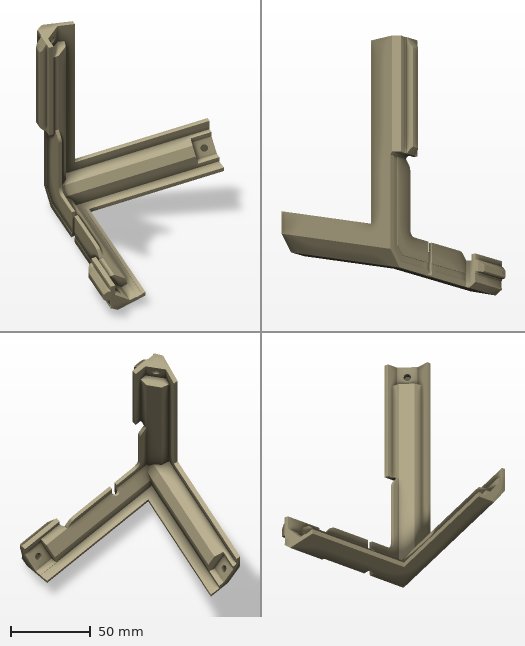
import cadquery as cq
import math


beam_end = 114.56
upright_end = 147.03
rail_height = 4.0
overall_depth = 111.15
arm_end = overall_depth - rail_height
lean = math.tan(math.radians(14.5))
edge_y = 4.87
corner_chamfer = 10.2

wall = 2.95
front_wall = 3.1
front_flange_width = 21.4
front_chamfer = 3.2
leaning_flange_y = 24.0
core_width = 17.3
core_side_y = 8.5
core_top = 8.4
core_back_y = 16.2
pocket_y = 13.3
pocket_width = 13.3
pocket_length = 13.3

arm_width = 24.6
arm_core = 17.6
arm_core_chamfer = 5.05
arm_seat = 5.9
arm_seat_floor = 13.9
arm_pocket_length = 12.1

tip_width = 2.2
channel_depth = 0.4

recess_y = 6.2
recess_bevel = 1.6
beam_recess_end = 85.4
upright_recess_end = 72.6
plate_width = 22.35
plate_bevel = 4.7
plate_radius = 4.5

groove_near = 4.1
groove_far = 8.9
groove_depth = 0.45
upright_groove_inset = 0.4
groove_outer_bend = 7.1
groove_inner_bend = 5.1

hole_diameter = 4.6
hole_depth = 5.0
hole_from_end = 6.8
arm_hole_from_end = 6.1
slot_x = 44.2
slot_width = 4.0
slot_back_y = 9.95
bevel_width = 0.9
bevel_angle = 45.0
top_bevel_depth = 3.6
top_bevel_y = 9.3

rail_near = 9.7
rail_far = 17.5
upright_rail_top_slope = 6.6
upright_rail_near_chamfer = 0.9
upright_rail_far_chamfer = 1.25
beam_rail_straight = 1.75
beam_rail_shelf = 1.1
beam_rail_slope = 2.9
beam_rail_chamfer = 0.6
beam_rail_start_slope = 4.0
beam_rail_end_slope = 2.0

margin = 10.0


def leaning(y):
    """Offset of the left or bottom plane at a given Y."""
    return lean * (y - edge_y)


def prism_x(points, start, end):
    """Prism along X from (y, z) points."""
    return cq.Workplane("YZ", origin=(start, 0, 0)).polyline(points).close().extrude(end - start)


def prism_y(points, start, end):
    """Prism along Y from (x, z) points."""
    return cq.Workplane("XZ", origin=(0, start, 0)).polyline(points).close().extrude(start - end)


def prism_z(points, start, end):
    """Prism along Z from (x, y) points."""
    return cq.Workplane("XY", origin=(0, 0, start)).polyline(points).close().extrude(end - start)


def leaning_prism(points, start, end):
    """Prism along the arm from (u, v) points measured from the leaning corner."""
    offset = leaning(start)
    corners = [cq.Vector(u + offset, start, v + offset) for u, v in points]
    wire = cq.Wire.makePolygon(corners, close=True)
    length = end - start
    path = cq.Vector(lean * length, length, lean * length)
    return cq.Workplane(obj=cq.Solid.extrudeLinear(wire, [], path))


def swap(points):
    """Section with its two coordinates exchanged."""
    return [(b, a) for a, b in points]


core_back_width = core_top + leaning(core_back_y)
core_ledge_y = core_back_y + lean * (core_top - wall)


def flange_section():
    """V section as (y, w) points, w across the bar, with the sloping end pocket floor."""
    return [
        (front_wall, front_flange_width),
        (0, front_flange_width),
        (0, front_chamfer),
        (edge_y, 0),
        (leaning_flange_y, leaning(leaning_flange_y)),
        (leaning_flange_y, leaning(leaning_flange_y) + wall),
        (pocket_y, leaning(pocket_y) + wall),
        (front_wall, pocket_width),
    ]


def core_section():
    """Core between the two flanges, its ledge square to the leaning flange."""
    return [
        (front_wall, core_width),
        (front_wall, front_chamfer),
        (edge_y, 0),
        (core_ledge_y, leaning(core_ledge_y)),
        (core_ledge_y, leaning(core_ledge_y) + wall),
        (core_back_y, core_back_width),
        (core_side_y, core_width),
    ]


def channel_section():
    """Channel along the beam, straddling the flange's inside face."""
    tip_y = leaning_flange_y - tip_width
    return [
        (core_ledge_y, leaning(core_ledge_y) + wall - channel_depth),
        (tip_y, leaning(tip_y) + wall - channel_depth),
        (tip_y, leaning(tip_y) + wall + channel_depth),
        (core_ledge_y, leaning(core_ledge_y) + wall + channel_depth),
    ]


def arm_channel_section():
    """Channel along the arm, in (u, v) from the leaning corner."""
    tip_u = arm_width - tip_width
    return [
        (arm_core, wall - channel_depth),
        (tip_u, wall - channel_depth),
        (tip_u, wall + channel_depth),
        (arm_core, wall + channel_depth),
    ]


def make_flanges():
    """Thin V sections of the three bars with the channels inside the bottom flanges."""
    beam = prism_x(flange_section(), -margin, beam_end)
    upright = prism_z(swap(flange_section()), -margin, upright_end)
    flanges = beam.union(upright).union(make_arm_flanges())
    flanges = flanges.cut(prism_x(channel_section(), arm_core, beam_end))
    return flanges.cut(leaning_prism(arm_channel_section(), core_back_y, arm_end))


def make_arm_flanges():
    """V section of the arm with the seats beside its end pocket."""
    return leaning_prism([
        (wall, arm_width),
        (0, arm_width),
        (0, 0),
        (arm_width, 0),
        (arm_width, wall),
        (arm_core, wall),
        (arm_core, arm_seat),
        (arm_seat_floor, arm_seat),
        (arm_seat, arm_seat_floor),
        (arm_seat, arm_core),
        (wall, arm_core),
    ], recess_y, arm_end)


def make_cores():
    """Solid cores that stop short of the bar ends and leave the end pockets."""
    beam = prism_x(core_section(), -margin, beam_end - pocket_length)
    upright = prism_z(swap(core_section()), -margin, upright_end - pocket_length)
    return beam.union(upright).union(make_arm_core())


def make_arm_core():
    """Solid core of the arm, cut off square to the arm at its end pocket."""
    core = leaning_prism([
        (0, 0),
        (arm_core, 0),
        (arm_core, arm_core - arm_core_chamfer),
        (arm_core - arm_core_chamfer, arm_core),
        (0, arm_core),
    ], recess_y, arm_end)
    floor_y = arm_end - arm_pocket_length
    floor_x = leaning(floor_y) + arm_seat
    floor_z = leaning(floor_y) + arm_seat_floor
    plane = cq.Plane((floor_x, floor_y, floor_z), xDir=(1, -lean, 0), normal=(lean, 1, lean))
    beyond_end = cq.Workplane(plane).rect(2 * beam_end, 2 * beam_end).extrude(beam_end)
    return core.cut(beyond_end)


def trim_envelope():
    """Space inside the left and bottom planes and the chamfer between them."""
    size = beam_end + upright_end
    return leaning_prism([
        (0, corner_chamfer),
        (corner_chamfer, 0),
        (size, 0),
        (size, size),
        (0, size),
    ], -margin, arm_end)


def cut_recess(body):
    """Set the front back around the corner, with bevelled ends."""
    bevel_y = recess_y - recess_bevel
    across_beam = prism_z([
        (-margin, -margin),
        (beam_recess_end, -margin),
        (beam_recess_end, bevel_y),
        (beam_recess_end - recess_bevel, recess_y),
        (-margin, recess_y),
    ], -margin, upright_recess_end)
    across_upright = prism_x([
        (-margin, -margin),
        (-margin, upright_recess_end),
        (bevel_y, upright_recess_end),
        (recess_y, upright_recess_end - recess_bevel),
        (recess_y, -margin),
    ], -margin, beam_recess_end)
    return body.cut(across_beam.intersect(across_upright))


def make_plate():
    """L-shaped plate behind the recess with bevelled ends and a rounded inside corner."""
    beam_tip = beam_recess_end - recess_bevel
    upright_tip = upright_recess_end - recess_bevel
    shoulder = plate_width - plate_bevel
    plate = prism_y([
        (0, 0),
        (beam_tip, 0),
        (beam_tip, shoulder),
        (beam_tip - plate_bevel, plate_width),
        (plate_width, plate_width),
        (plate_width, upright_tip - plate_bevel),
        (shoulder, upright_tip),
        (0, upright_tip),
    ], recess_y, core_side_y)
    rounded = [
        (plate_width, plate_width),
        (beam_tip - plate_bevel, plate_width),
        (plate_width, upright_tip - plate_bevel),
    ]
    middle_y = (recess_y + core_side_y) / 2
    for x, z in rounded:
        nearest = cq.selectors.NearestToPointSelector((x, middle_y, z))
        plate = plate.edges(nearest).fillet(plate_radius)
    return plate


def cut_grooves(body):
    """Front groove around the recess and on along both front flanges."""
    recess_near = groove_near + upright_groove_inset
    recess_far = groove_far - upright_groove_inset
    corner_groove = prism_y([
        (recess_near, upright_recess_end),
        (recess_near, groove_near + groove_outer_bend),
        (recess_near + groove_outer_bend, groove_near),
        (beam_recess_end, groove_near),
        (beam_recess_end, groove_far),
        (recess_far + groove_inner_bend, groove_far),
        (recess_far, groove_far + groove_inner_bend),
        (recess_far, upright_recess_end),
    ], recess_y, recess_y + groove_depth)
    on_recess = prism_y([
        (0, 0),
        (beam_recess_end - recess_bevel, 0),
        (beam_recess_end - recess_bevel, upright_recess_end - recess_bevel),
        (0, upright_recess_end - recess_bevel),
    ], 0, recess_y + groove_depth)
    width = groove_far - groove_near
    beam_length = beam_end - beam_recess_end
    upright_length = upright_end - upright_recess_end
    beam_groove = cq.Workplane().box(beam_length, groove_depth, width, centered=False)
    upright_groove = cq.Workplane().box(width, groove_depth, upright_length, centered=False)
    body = body.cut(corner_groove.intersect(on_recess))
    body = body.cut(beam_groove.translate((beam_recess_end, 0, groove_near)))
    return body.cut(upright_groove.translate((groove_near, 0, upright_recess_end)))


def make_upright_rail():
    """Rail on the upright's front flange with sloping ends and chamfered front edges."""
    tip = -rail_height
    section = prism_z([
        (rail_near, front_wall),
        (rail_near, tip + upright_rail_near_chamfer),
        (rail_near + upright_rail_near_chamfer, tip),
        (rail_far - upright_rail_far_chamfer, tip),
        (rail_far, tip + upright_rail_far_chamfer),
        (rail_far, front_wall),
    ], upright_recess_end, upright_end)
    side = prism_x([
        (front_wall, upright_recess_end),
        (0, upright_recess_end),
        (tip, upright_recess_end + rail_height),
        (tip, upright_end - upright_rail_top_slope),
        (0, upright_end),
        (front_wall, upright_end),
    ], rail_near, rail_far)
    return section.intersect(side)


def make_beam_rail():
    """Rail on the beam's front flange with a sloping top and sloping ends."""
    tip = -rail_height
    section = prism_x([
        (0, rail_near),
        (tip + beam_rail_chamfer, rail_near),
        (tip, rail_near + beam_rail_chamfer),
        (tip, rail_far - beam_rail_slope),
        (-beam_rail_shelf, rail_far),
        (0, rail_far),
    ], beam_recess_end, beam_end)
    plan = prism_z([
        (beam_recess_end, 0),
        (beam_recess_end, -beam_rail_straight),
        (beam_recess_end + beam_rail_start_slope, tip),
        (beam_end - beam_rail_end_slope, tip),
        (beam_end, 0),
    ], rail_near, rail_far)
    return section.intersect(plan)


def drill(body, point, direction):
    """Blind screw hole from a point along a direction, open behind the point."""
    direction = cq.Vector(*direction).normalized()
    start = cq.Vector(*point) - direction * hole_depth
    hole = cq.Solid.makeCylinder(hole_diameter / 2, 2 * hole_depth, start, direction)
    return body.cut(cq.Workplane(obj=hole))


def drill_holes(body):
    """One hole square to the middle of each end pocket's floor."""
    floor_low = leaning(pocket_y) + wall
    middle_y = (pocket_y + front_wall) / 2
    middle_w = (floor_low + pocket_width) / 2
    into_y = floor_low - pocket_width
    into_w = front_wall - pocket_y
    body = drill(body, (beam_end - hole_from_end, middle_y, middle_w), (0, into_y, into_w))
    body = drill(body, (middle_w, middle_y, upright_end - hole_from_end), (into_w, into_y, 0))
    arm_y = arm_end - arm_hole_from_end
    arm_middle = leaning(arm_y) + (arm_seat + arm_seat_floor) / 2
    return drill(body, (arm_middle, arm_y, arm_middle), (-1, 2 * lean, -1))


def slot_outline(plane, radius):
    """Open-ended slot on a plane, its round end centred on the plane's origin."""
    return (
        cq.Workplane(plane)
        .moveTo(-radius, -margin)
        .lineTo(-radius, 0)
        .threePointArc((0, radius), (radius, 0))
        .lineTo(radius, -margin)
        .close()
    )


def cut_wire_slot(body):
    """Slot through the plate and core, bevelled at the bottom and at the core's slope."""
    radius = slot_width / 2
    bevel_radius = radius + bevel_width
    centre_y = slot_back_y - radius
    slot = slot_outline(cq.Plane((slot_x, centre_y, -margin)), radius).extrude(4 * margin)

    bottom = cq.Plane((slot_x, centre_y, leaning(centre_y)), xDir=(1, 0, 0), normal=(0, -lean, 1))
    bottom_bevel = slot_outline(bottom, bevel_radius).extrude(radius, taper=bevel_angle)

    slope = (core_back_width - core_width) / (core_back_y - core_side_y)
    bevel_z = core_width + slope * (top_bevel_y - core_side_y)
    into_slope = cq.Vector(0, slope, -1)
    rim_centre = cq.Vector(slot_x, top_bevel_y, bevel_z)
    top_bevel = cq.Solid.makeCone(bevel_radius, 0, top_bevel_depth, rim_centre, into_slope)
    return body.cut(slot).cut(bottom_bevel).cut(cq.Workplane(obj=top_bevel))


frame = make_flanges().union(make_cores()).intersect(trim_envelope())
frame = cut_recess(frame)
frame = frame.union(make_plate().intersect(trim_envelope()))
frame = frame.union(make_upright_rail()).union(make_beam_rail())
frame = cut_grooves(frame)
frame = drill_holes(frame)
result = cut_wire_slot(frame)